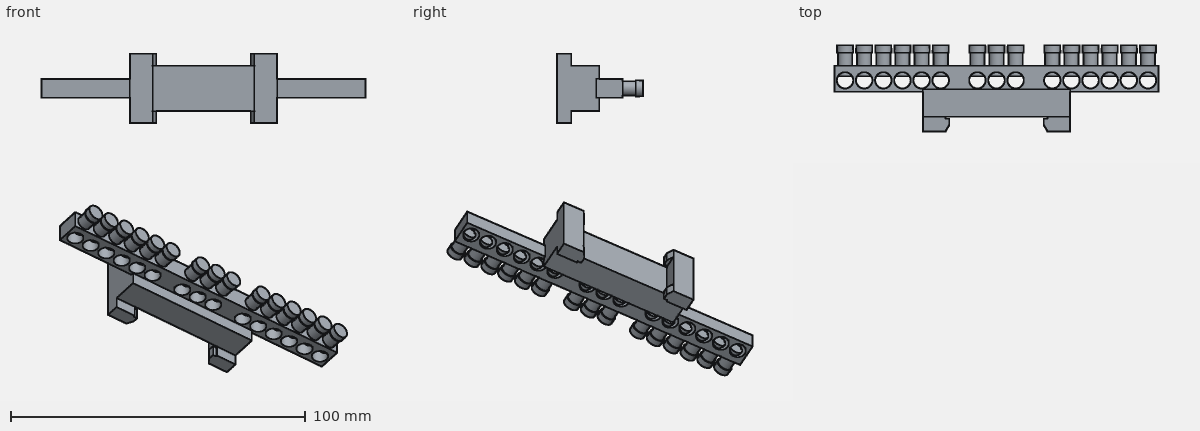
import cadquery as cq


holder_length = 49.9
holder_height = 15.4
foot_height = 23.5
foot_depth = 5.0
block_depth = 9.5
block_top = foot_depth + block_depth

foot_width = 7.7
lip_reach = 1.3
lip_clearance = 0.5
lip_chamfer_depth = 2.3

bar_length = 110.0
bar_depth = 8.9
bar_height = 6.4
bar_embed = 1.0
bar_bottom = block_top - bar_embed
bar_top = bar_bottom + bar_depth

hole_diameter = 5.5
hole_inset = 5.0
hole_y = bar_top - hole_inset
shank_diameter = 5.0
shank_exposed = 4.4
shank_embedded = 3.6
head_tip_diameter = 5.5
head_base_diameter = 5.6
head_length = 2.5

pitch = 6.5
end_margin = 3.6
last_station = bar_length / 2 - end_margin
outer_group_size = 6
outer_stations = [last_station - i * pitch for i in range(outer_group_size)]
stations = outer_stations + [-pitch, 0, pitch] + [-x for x in outer_stations]


def make_block():
    """Central block of the holder, above the feet."""
    block = cq.Workplane("XY").box(holder_length, block_depth, holder_height)
    return block.translate((0, foot_depth + block_depth / 2, 0))


def make_foot():
    """Left foot: a tall post whose top and bottom ends carry hooked lips facing inward."""
    outer_x = -holder_length / 2
    inner_x = outer_x + foot_width
    lip_x = inner_x + lip_reach
    lip_top = foot_depth - lip_clearance
    hooked = (
        cq.Workplane("XY")
        .workplane(offset=-foot_height / 2)
        .moveTo(outer_x, 0)
        .lineTo(inner_x, 0)
        .lineTo(lip_x, lip_chamfer_depth)
        .lineTo(lip_x, lip_top)
        .lineTo(inner_x, lip_top)
        .lineTo(inner_x, foot_depth)
        .lineTo(outer_x, foot_depth)
        .close()
        .extrude(foot_height)
    )
    lip_gap = cq.Workplane("XY").box(lip_reach, foot_depth, holder_height)
    return hooked.cut(lip_gap.translate((inner_x + lip_reach / 2, foot_depth / 2, 0)))


def make_bar():
    """Rectangular bar with a wire hole through Z at every station."""
    bar = cq.Workplane("XY").box(bar_length, bar_depth, bar_height)
    bar = bar.translate((0, bar_bottom + bar_depth / 2, 0))
    holes = (
        cq.Workplane("XY")
        .workplane(offset=-bar_height / 2)
        .pushPoints([(x, hole_y) for x in stations])
        .circle(hole_diameter / 2)
        .extrude(bar_height)
    )
    return bar.cut(holes)


def make_screw():
    """Screw along Y: its tip reaches into the wire hole, its head narrows slightly toward the end."""
    tip_y = bar_top - shank_embedded
    head_y = bar_top + shank_exposed
    end_y = head_y + head_length
    return (
        cq.Workplane("XY")
        .moveTo(0, tip_y)
        .lineTo(shank_diameter / 2, tip_y)
        .lineTo(shank_diameter / 2, head_y)
        .lineTo(head_base_diameter / 2, head_y)
        .lineTo(head_tip_diameter / 2, end_y)
        .lineTo(0, end_y)
        .close()
        .revolve(360, (0, 0, 0), (0, 1, 0))
    )


foot = make_foot()
result = make_block().union(foot).union(foot.mirror("YZ")).union(make_bar())

screw = make_screw()
for station in stations:
    result = result.union(screw.translate((station, 0, 0)))